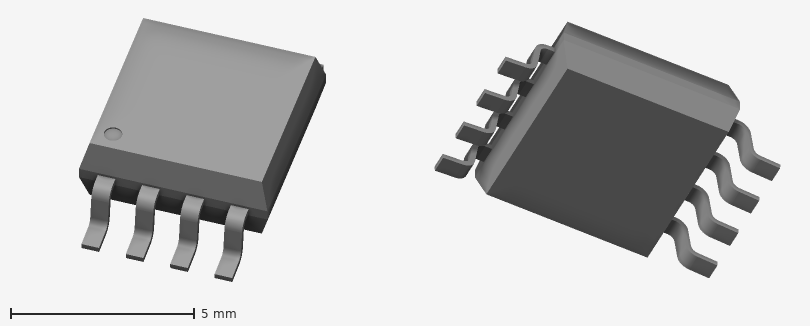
import cadquery as cq
import math

body_side = 5.38
overall_height = 2.32
standoff = 0.28
band_height = 0.33
draft_angle = 15.0
body_height = overall_height - standoff
taper_height = (body_height - band_height) / 2
mid_height = standoff + body_height / 2

mark_diameter = 0.5
mark_offset = 1.95
mark_depth = 0.05

overall_length = 8.39
leads_per_side = 4
lead_pitch = 1.27
lead_width = 0.5
lead_thickness = 0.17
shoulder_length = 0.21
lead_embed = 0.17
bend_radius = 0.31
leg_angle = math.radians(82)
foot_angle = math.radians(4)


def make_body():
    """Square body: a straight band between two tapered halves."""
    band = cq.Workplane("XY").workplane(offset=mid_height).rect(body_side, body_side)
    band = band.extrude(band_height / 2, both=True)
    upper = band.faces(">Z").wires().toPending().extrude(taper_height, taper=draft_angle)
    return upper.faces("<Z").wires().toPending().extrude(-taper_height, taper=draft_angle)


def make_mark():
    """Shallow round recess cutter near the pin-one corner."""
    return (
        cq.Workplane("XY", origin=(-mark_offset, -mark_offset, overall_height - mark_depth))
        .circle(mark_diameter / 2)
        .extrude(mark_depth)
    )


def step(point, angle, length):
    """Move a (y, z) point along a direction inclined below horizontal."""
    return (point[0] + length * math.cos(angle), point[1] - length * math.sin(angle))


def make_lead():
    """Gull-wing lead at X = 0, pointing toward +Y."""
    half = lead_thickness / 2
    across = math.pi / 2

    shoulder_start = (body_side / 2 - lead_embed, mid_height)
    shoulder_end = (body_side / 2 + shoulder_length, mid_height)
    upper_centre = step(shoulder_end, across, bend_radius)
    upper_middle = step(upper_centre, leg_angle / 2 - across, bend_radius)
    leg_top = step(upper_centre, leg_angle - across, bend_radius)

    foot_tip = (
        overall_length / 2 - half * math.sin(foot_angle),
        half * math.cos(foot_angle),
    )

    bend_y = bend_radius * (math.sin(leg_angle) - math.sin(foot_angle))
    bend_z = bend_radius * (math.cos(foot_angle) - math.cos(leg_angle))
    run = foot_tip[0] - leg_top[0] - bend_y
    drop = leg_top[1] - foot_tip[1] - bend_z
    leg_length = (drop * math.cos(foot_angle) - run * math.sin(foot_angle)) / math.sin(leg_angle - foot_angle)

    leg_bottom = step(leg_top, leg_angle, leg_length)
    lower_centre = step(leg_bottom, leg_angle - across, bend_radius)
    lower_middle = step(lower_centre, (leg_angle + foot_angle) / 2 + across, bend_radius)
    foot_start = step(lower_centre, foot_angle + across, bend_radius)

    path = (
        cq.Workplane("YZ")
        .moveTo(*shoulder_start)
        .lineTo(*shoulder_end)
        .threePointArc(upper_middle, leg_top)
        .lineTo(*leg_bottom)
        .threePointArc(lower_middle, foot_start)
        .lineTo(*foot_tip)
    )
    section = cq.Workplane("XZ", origin=(0, *shoulder_start)).rect(lead_width, lead_thickness)
    return section.sweep(path)


result = make_body().cut(make_mark())
lead = make_lead()
for index in range(leads_per_side):
    lead_x = (index - (leads_per_side - 1) / 2) * lead_pitch
    back_lead = lead.translate((lead_x, 0, 0))
    result = result.union(back_lead).union(back_lead.mirror("XZ"))